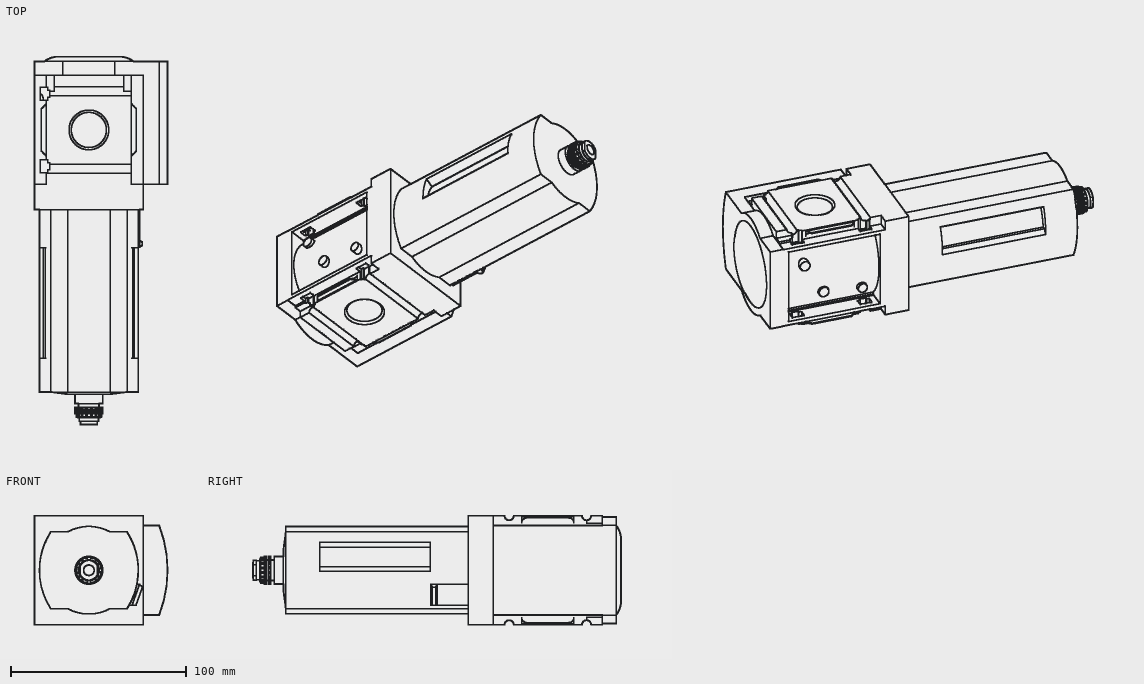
import cadquery as cq
import math


block_width = 62.0
half_block = block_width / 2
lid_back_y = 39.0
middle_half_length = 31.0
block_front_y = -45.3
core_half_height = 25.35
pad_half_width = 24.2

cover_half_height = 25.5
lid_bulge_z = 30.4
lid_bulge_half_width = 14.8
cover_shoulder_x = 40.0
cover_crown_x = 44.8
dome_height = 2.7
dome_base_radius = 25.3
dome_top_radius = 17.6

port_diameter = 20.0
port_mouth_diameter = 22.6
port_depth = 18.0
groove_y = 22.0
groove_radius = 2.55
pad_corner_x = 19.8
pad_corner_z = 26.6
dovetail_x = 27.0
dovetail_half_length = 14.8
dovetail_end_slope = 2.8
dovetail_root_z = 27.1
dovetail_lip_z = 29.7
dovetail_top_z = 30.3

key_slot_y = 20.6
key_head_left_x = -27.6
key_head_right_x = -23.3
key_head_length = 7.2
key_neck_right_x = -22.2
key_neck_length = 4.0

window_half_length = 27.8
window_half_height = 23.0
window_floor_x = -20.4
window_ledge_x = -20.9
window_floor_half_height = 22.4
barrel_radius = 29.4
stud_face_x = -29.9
studs = [(17.3, 10.8, 6.0), (5.8, -8.7, 6.0), (-17.8, -11.1, 5.5)]

bowl_end_y = -149.0
bowl_bulge_radius = 24.9
bowl_flat_z = 21.8
bowl_corner_x = 21.7
bowl_side_x = 28.1
bowl_cone_radius = 21.6
bowl_cone_top_radius = 11.7
bowl_cone_height = 1.3

sight_start_y = -66.9
sight_end_y = -129.7
sight_floor_radius = 24.0
sight_lower_outer = (28.2, -0.6)
sight_lower_knee = (25.9, 2.1)
sight_upper_outer = (24.9, 16.0)
sight_upper_inner = (20.2, 13.2)

latch_top_z = -8.0
latch_bottom_z = -20.0
latch_plate_top_x = 28.8
latch_plate_bottom_x = 24.5
latch_end_y = -66.6
latch_ridge_rise = 2.1
latch_ridge_length = 3.8
latch_ridge_taper = 25.0

tip_y = -167.66
flange_radius = 15.8 / 2
neck_radius = 11.8 / 2
groove_ring_radius = 15.2 / 2
barb_radius = 14.6 / 2
stem_radius = 11.0 / 2
collar_radius = 11.6 / 2
flange_end_y = -155.5
ring_start_y = -157.6
ring_end_y = -158.7
double_ring_start_y = -159.6
double_ring_end_y = -161.2
double_ring_rim = 0.4
barb_end_y = -163.1
barb_foot_y = -163.7
collar_start_y = -165.6
collar_end_y = -167.3
bore_radius = 6.0 / 2
bore_mouth_radius = 7.0 / 2
bore_depth = 6.0
tip_flats_width = 9.6
tooth_gap_count = 16
tooth_root_radius = 6.9
tooth_gap_width = 0.8


def box(x_range, y_range, z_range):
    """Box spanning the given (low, high) ranges."""
    spans = [high - low for low, high in (x_range, y_range, z_range)]
    low_corner = (x_range[0], y_range[0], z_range[0])
    return cq.Workplane("XY").box(*spans, centered=False).translate(low_corner)


def cylinder_y(radius, start_y, end_y):
    """Cylinder on the Y axis, from start_y down to end_y."""
    return cq.Workplane("XZ", origin=(0, start_y, 0)).circle(radius).extrude(start_y - end_y)


def both_faces(shape):
    """The shape together with its mirror image in the XY plane."""
    return shape.union(shape.mirror("XY"))


def make_core():
    front_block = box(
        (-half_block, half_block),
        (block_front_y, -middle_half_length),
        (-half_block, half_block),
    )
    middle = box(
        (-half_block, half_block),
        (-middle_half_length, middle_half_length),
        (-core_half_height, core_half_height),
    )
    pads = box(
        (-pad_half_width, pad_half_width),
        (-middle_half_length, middle_half_length),
        (-half_block, half_block),
    )
    return front_block.union(middle).union(pads)


def make_lid():
    plate = box(
        (-half_block, half_block),
        (middle_half_length, lid_back_y),
        (-cover_half_height, cover_half_height),
    )
    bulge = (
        cq.Workplane("XZ", origin=(0, lid_back_y, 0))
        .moveTo(-lid_bulge_half_width, cover_half_height)
        .threePointArc((0, lid_bulge_z), (lid_bulge_half_width, cover_half_height))
        .close()
        .extrude(lid_back_y - middle_half_length)
    )

    rim_width = dome_base_radius - dome_top_radius
    rim_arc_radius = (rim_width**2 + dome_height**2) / (2 * dome_height)
    half_sweep = math.asin(rim_width / rim_arc_radius) / 2
    top_y = lid_back_y + dome_height
    rim_middle = (
        dome_top_radius + rim_arc_radius * math.sin(half_sweep),
        top_y - rim_arc_radius * (1 - math.cos(half_sweep)),
    )
    dome = (
        cq.Workplane("XY")
        .moveTo(0, lid_back_y)
        .lineTo(dome_base_radius, lid_back_y)
        .threePointArc(rim_middle, (dome_top_radius, top_y))
        .lineTo(0, top_y)
        .close()
        .revolve(360, (0, 0, 0), (0, 1, 0))
    )
    return plate.union(both_faces(bulge)).union(dome)


def make_side_cover():
    return (
        cq.Workplane("XZ", origin=(0, lid_back_y, 0))
        .moveTo(half_block, -cover_half_height)
        .lineTo(cover_shoulder_x, -cover_half_height)
        .threePointArc((cover_crown_x, 0), (cover_shoulder_x, cover_half_height))
        .lineTo(half_block, cover_half_height)
        .close()
        .extrude(lid_back_y + middle_half_length)
    )


def make_dovetails():
    """Rib along each side edge of the upper pad, with a hollow round underside."""
    rise = dovetail_lip_z - dovetail_root_z
    reach = dovetail_x - pad_half_width
    hollow_x = pad_half_width + reach * (1 - math.sqrt(0.5))
    hollow_z = dovetail_root_z + rise * math.sqrt(0.5)
    section = (
        cq.Workplane("XZ", origin=(0, dovetail_half_length, 0))
        .moveTo(-pad_half_width, dovetail_root_z)
        .threePointArc((-hollow_x, hollow_z), (-dovetail_x, dovetail_lip_z))
        .lineTo(-dovetail_x, dovetail_top_z)
        .lineTo(dovetail_x, dovetail_top_z)
        .lineTo(dovetail_x, dovetail_lip_z)
        .threePointArc((hollow_x, hollow_z), (pad_half_width, dovetail_root_z))
        .close()
        .extrude(2 * dovetail_half_length)
    )
    short_half = dovetail_half_length - dovetail_end_slope
    outline = (
        cq.Workplane("XY")
        .polyline([
            (-pad_half_width, dovetail_half_length),
            (-dovetail_x, short_half),
            (-dovetail_x, -short_half),
            (-pad_half_width, -dovetail_half_length),
            (pad_half_width, -dovetail_half_length),
            (dovetail_x, -short_half),
            (dovetail_x, short_half),
            (pad_half_width, dovetail_half_length),
        ])
        .close()
        .extrude(half_block)
    )
    return section.intersect(outline)


def make_pad_cuts():
    """Port, cross grooves and back corner steps of the upper pad."""
    mouth_depth = (port_mouth_diameter - port_diameter) / 2
    cuts = (
        cq.Workplane("XY", origin=(0, 0, half_block))
        .circle(port_diameter / 2)
        .extrude(-port_depth)
        .faces(">Z")
        .workplane()
        .circle(port_mouth_diameter / 2)
        .workplane(offset=-mouth_depth)
        .circle(port_diameter / 2)
        .loft()
    )
    for y in (-groove_y, groove_y):
        groove = (
            cq.Workplane("YZ", origin=(-dovetail_x, y, half_block))
            .circle(groove_radius)
            .extrude(2 * dovetail_x)
        )
        cuts = cuts.union(groove)
    for side in (-1, 1):
        corner_x = sorted((side * pad_corner_x, side * pad_half_width))
        corner = box(corner_x, (groove_y, middle_half_length), (pad_corner_z, half_block))
        cuts = cuts.union(corner)
    return cuts


def make_key_slot(y):
    """Cutter through both window walls: a wide head and a narrow neck."""
    head = box(
        (key_head_left_x, key_head_right_x),
        (y - key_head_length / 2, y + key_head_length / 2),
        (window_floor_half_height, half_block),
    )
    neck = box(
        (key_head_right_x, key_neck_right_x),
        (y - key_neck_length / 2, y + key_neck_length / 2),
        (window_floor_half_height, half_block),
    )
    return both_faces(head.union(neck))


def make_window():
    opening = box(
        (-half_block, window_ledge_x),
        (-window_half_length, window_half_length),
        (-window_half_height, window_half_height),
    )
    floor = box(
        (-half_block, window_floor_x),
        (-window_half_length, window_half_length),
        (-window_floor_half_height, window_floor_half_height),
    )
    barrel = cylinder_y(barrel_radius, window_half_length, -window_half_length)
    return opening.union(floor).cut(barrel)


def make_stud(y, z, diameter):
    length = window_floor_x - stud_face_x
    return cq.Workplane("YZ", origin=(stud_face_x, y, z)).circle(diameter / 2).extrude(length)


def make_housing():
    housing = make_core().union(make_lid()).union(make_side_cover())
    housing = housing.union(both_faces(make_dovetails()))
    housing = housing.cut(both_faces(make_pad_cuts()))
    for y in (-key_slot_y, key_slot_y):
        housing = housing.cut(make_key_slot(y))
    housing = housing.cut(make_window())
    for y, z, diameter in studs:
        housing = housing.union(make_stud(y, z, diameter))
    return housing


def make_bowl_shell():
    length = block_front_y - bowl_end_y
    bulge_x = math.sqrt(bowl_bulge_radius**2 - bowl_flat_z**2)
    body = (
        cq.Workplane("XZ", origin=(0, block_front_y, 0))
        .moveTo(-bulge_x, bowl_flat_z)
        .threePointArc((0, bowl_bulge_radius), (bulge_x, bowl_flat_z))
        .lineTo(bowl_corner_x, bowl_flat_z)
        .threePointArc((bowl_side_x, 0), (bowl_corner_x, -bowl_flat_z))
        .lineTo(bulge_x, -bowl_flat_z)
        .threePointArc((0, -bowl_bulge_radius), (-bulge_x, -bowl_flat_z))
        .lineTo(-bowl_corner_x, -bowl_flat_z)
        .threePointArc((-bowl_side_x, 0), (-bowl_corner_x, bowl_flat_z))
        .close()
        .extrude(length)
    )
    end_cone = (
        cq.Workplane("XZ", origin=(0, bowl_end_y, 0))
        .circle(bowl_cone_radius)
        .workplane(offset=bowl_cone_height)
        .circle(bowl_cone_top_radius)
        .loft()
    )
    return body.union(end_cone)


def extend(start, end):
    """Point as far beyond end as end lies from start."""
    return (2 * end[0] - start[0], 2 * end[1] - start[1])


def make_sight_window():
    """Cutter for the right-hand sight window; its floor is a cylinder about the bowl axis."""
    knee_z = sight_lower_knee[1]
    outline = [
        extend(sight_lower_knee, sight_lower_outer),
        sight_lower_knee,
        (sight_upper_inner[0], knee_z),
        sight_upper_inner,
        extend(sight_upper_inner, sight_upper_outer),
    ]
    prism = (
        cq.Workplane("XZ", origin=(0, sight_start_y, 0))
        .polyline(outline)
        .close()
        .extrude(sight_start_y - sight_end_y)
    )
    return prism.cut(cylinder_y(sight_floor_radius, sight_start_y, sight_end_y))


def make_latch():
    """Flat plate on the lower right of the bowl, ending in a finger ridge."""
    plate = (
        cq.Workplane("XZ", origin=(0, block_front_y, 0))
        .moveTo(bowl_corner_x, latch_bottom_z)
        .lineTo(latch_plate_bottom_x, latch_bottom_z)
        .lineTo(latch_plate_top_x, latch_top_z)
        .lineTo(bowl_corner_x, latch_top_z)
        .close()
        .extrude(block_front_y - latch_end_y)
    )
    run = latch_plate_top_x - latch_plate_bottom_x
    drop = latch_top_z - latch_bottom_z
    ridge_centre = (
        (latch_plate_top_x + latch_plate_bottom_x) / 2,
        latch_end_y + latch_ridge_length / 2,
        (latch_top_z + latch_bottom_z) / 2,
    )
    plate_face = cq.Plane(origin=ridge_centre, xDir=(0, 1, 0), normal=(drop, 0, -run))
    ridge = (
        cq.Workplane(plate_face)
        .rect(latch_ridge_length, math.hypot(run, drop))
        .extrude(latch_ridge_rise, taper=latch_ridge_taper)
    )
    return plate.union(ridge)


def make_connector():
    root_y = bowl_end_y - bowl_cone_height
    profile = [
        (0, root_y),
        (flange_radius, root_y),
        (flange_radius, flange_end_y),
        (neck_radius, flange_end_y),
        (neck_radius, ring_start_y),
        (flange_radius, ring_start_y),
        (flange_radius, ring_end_y),
        (neck_radius, ring_end_y),
        (neck_radius, double_ring_start_y),
        (flange_radius, double_ring_start_y),
        (flange_radius, double_ring_start_y - double_ring_rim),
        (groove_ring_radius, double_ring_start_y - double_ring_rim),
        (groove_ring_radius, double_ring_end_y + double_ring_rim),
        (flange_radius, double_ring_end_y + double_ring_rim),
        (flange_radius, double_ring_end_y),
        (barb_radius, double_ring_end_y),
        (barb_radius, barb_end_y),
        (neck_radius, barb_foot_y),
        (stem_radius, barb_foot_y),
        (stem_radius, collar_start_y),
        (collar_radius, collar_start_y),
        (collar_radius, collar_end_y),
        (bore_mouth_radius, tip_y),
        (0, tip_y),
    ]
    connector = cq.Workplane("XY").polyline(profile).close().revolve(360, (0, 0, 0), (0, 1, 0))

    bore = cylinder_y(bore_radius, tip_y + bore_depth, tip_y)
    connector = connector.cut(bore)

    for side in (-1, 1):
        flat_x = sorted((side * tip_flats_width / 2, side * flange_radius))
        flat = box(flat_x, (tip_y, collar_start_y), (-flange_radius, flange_radius))
        connector = connector.cut(flat)

    for start_y, end_y in ((ring_start_y, ring_end_y), (double_ring_end_y, barb_foot_y)):
        for index in range(tooth_gap_count):
            gap = box(
                (tooth_root_radius, flange_radius),
                (end_y, start_y),
                (-tooth_gap_width / 2, tooth_gap_width / 2),
            )
            angle = (index + 0.5) * 360 / tooth_gap_count
            connector = connector.cut(gap.rotate((0, 0, 0), (0, 1, 0), angle))
    return connector


def make_bowl():
    bowl = make_bowl_shell()
    sight_window = make_sight_window()
    bowl = bowl.cut(sight_window).cut(sight_window.mirror("YZ"))
    return bowl.union(make_latch()).union(make_connector())


housing = make_housing()
bowl = make_bowl()
result = cq.Compound.makeCompound([housing.val(), bowl.val()])